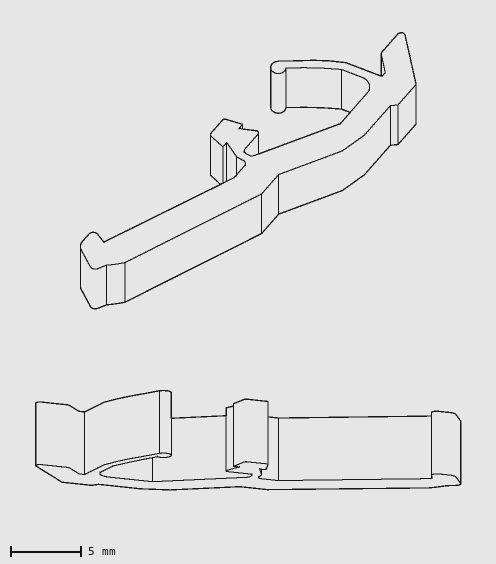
import cadquery as cq
import math

length = 29.98
width = 11.41
thickness = 4.65

upper_inner_x = 9.0
upper_outer_x = 11.0
lower_inner_x = 5.58
lower_outer_x = 8.02
middle_slope = math.tan(math.radians(60))
bend_outer = (10.52, 18.83)
bend_top_y = 20.9
bend_inner_y = 20.76
lower_inner_y = 12.47
lower_outer_y = 12.38
waist_outer_y = bend_outer[1] - middle_slope * (bend_outer[0] - lower_outer_x)

foot_notch = (1.28, 2.42)
foot_top_y = 2.97
foot_bottom_y = 1.145
foot_tip = (2.10, -0.165)
foot_heel = (2.62, 0.81)
heel_crown = (3.12, 1.24)
heel_end = (3.57, 1.76)
foot_top_radius = 0.38
foot_bottom_radius = 0.75
foot_tip_radius = 0.39
heel_radius = 8.5

head_left_x = 7.75
head_right_top_y = 26.74
head_right_bottom_y = 24.48
shoulder_y = 24.12
head_left_y = 27.6
head_apex_y = head_right_top_y + width - head_left_x
head_inner_y = head_left_y - (upper_inner_x - head_left_x)
head_tip_radius = (head_apex_y - length) / math.sqrt(2)
head_corner_radius = 0.3

stud_left_x = 1.94
stud_step_x = 3.34
stud_right_x = 4.74
stud_top_left_y = 16.38
stud_bottom_left_y = 14.61
stud_top_y = 16.73
stud_bottom_y = 14.26
stud_neck_top_y = 16.27
stud_neck_bottom_y = 14.74
stud_flank_slope = 0.49
stud_base_y = 14.09
stud_shoulder_y = stud_neck_top_y + stud_flank_slope * (stud_right_x - stud_step_x)
stud_base_x = stud_step_x + (stud_neck_bottom_y - stud_base_y) / stud_flank_slope
stud_corner_radius = 0.2
stud_shoulder_radius = 0.2
stud_root_radius = 0.32
groove_y = 14.71
groove_right_x = upper_inner_x - (bend_inner_y - groove_y) / middle_slope
groove_left_radius = 0.3
groove_right_radius = 0.4

hook_slope = 0.163
hook_outer_bend = (6.19, 25.47)
hook_outer_middle = (4.83, 24.75)
hook_outer_end = (3.25, 23.62)
hook_outer_tip = (2.14, 22.81)
hook_inner_bend = (6.28, 24.78)
hook_inner_middle = (4.43, 23.67)
hook_inner_end = (2.98, 22.63)
hook_root_radius = 0.95
bead_center = (2.5, 22.36)
bead_radius = 0.55
hook_overlap = 0.5


def corner_arc(before, corner, after, radius):
    """Start, middle and end of the arc that rounds a corner tangentially."""
    vertex = cq.Vector(*corner)
    back = (cq.Vector(*before) - vertex).normalized()
    ahead = (cq.Vector(*after) - vertex).normalized()
    half_angle = back.getAngle(ahead) / 2
    tangent_length = radius / math.tan(half_angle)
    middle_distance = radius / math.sin(half_angle) - radius
    start = vertex + back * tangent_length
    middle = vertex + (back + ahead).normalized() * middle_distance
    end = vertex + ahead * tangent_length
    return [point.toTuple()[:2] for point in (start, middle, end)]


def rounded_plate(corners):
    """Extruded polygon from (x, y, radius) corners; radius 0 stays sharp."""
    outline = cq.Workplane("XY").moveTo(*corners[0][:2])
    for index in range(1, len(corners)):
        corner = corners[index][:2]
        radius = corners[index][2]
        if radius == 0:
            outline = outline.lineTo(*corner)
            continue
        before = corners[index - 1][:2]
        after = corners[(index + 1) % len(corners)][:2]
        start, middle, end = corner_arc(before, corner, after, radius)
        outline = outline.lineTo(*start).threePointArc(middle, end)
    return outline.close().extrude(thickness)


def make_strut():
    """Strut with foot, head and barbed stud, listed counterclockwise."""
    foot = [
        (*foot_notch, 0),
        (0, foot_top_y, foot_top_radius),
        (0, foot_bottom_y, foot_bottom_radius),
        (*foot_tip, foot_tip_radius),
        (*foot_heel, 0),
        (*heel_crown, heel_radius),
        (*heel_end, 0),
    ]
    outer_side = [
        (lower_outer_x, lower_outer_y, 0),
        (lower_outer_x, waist_outer_y, 0),
        (*bend_outer, 0),
        (upper_outer_x, bend_top_y, 0),
        (upper_outer_x, shoulder_y, 0),
    ]
    head = [
        (width, head_right_bottom_y, 0),
        (width, head_right_top_y, 0),
        (head_left_x, head_apex_y, head_tip_radius),
        (head_left_x, head_left_y, head_corner_radius),
        (upper_inner_x, head_inner_y, head_corner_radius),
        (upper_inner_x, bend_inner_y, 0),
    ]
    stud = [
        (groove_right_x, groove_y, groove_right_radius),
        (stud_right_x, groove_y, groove_left_radius),
        (stud_right_x, stud_shoulder_y, stud_shoulder_radius),
        (stud_step_x, stud_neck_top_y, 0),
        (stud_step_x, stud_top_y, 0),
        (stud_left_x, stud_top_left_y, stud_corner_radius),
        (stud_left_x, stud_bottom_left_y, stud_corner_radius),
        (stud_step_x, stud_bottom_y, 0),
        (stud_step_x, stud_neck_bottom_y, 0),
        (stud_base_x, stud_base_y, 0),
        (lower_inner_x, stud_base_y, stud_root_radius),
        (lower_inner_x, lower_inner_y, 0),
    ]
    return rounded_plate(foot + outer_side + head + stud)


def make_hook():
    """Curved arm with a rounded root on its lower side, and its end bead."""
    outer_root_y = hook_outer_bend[1] + hook_slope * (upper_inner_x - hook_outer_bend[0])
    inner_root_y = hook_inner_bend[1] + hook_slope * (upper_inner_x - hook_inner_bend[0])
    inner_root = (upper_inner_x, inner_root_y)
    strut_point = (upper_inner_x, bend_inner_y)
    root_start, root_middle, root_end = corner_arc(
        hook_inner_bend, inner_root, strut_point, hook_root_radius
    )
    arm = (
        cq.Workplane("XY")
        .moveTo(upper_inner_x, outer_root_y)
        .lineTo(*hook_outer_bend)
        .threePointArc(hook_outer_middle, hook_outer_end)
        .lineTo(*hook_outer_tip)
        .lineTo(*bead_center)
        .lineTo(*hook_inner_end)
        .threePointArc(hook_inner_middle, hook_inner_bend)
        .lineTo(*root_start)
        .threePointArc(root_middle, root_end)
        .lineTo(upper_inner_x + hook_overlap, root_end[1])
        .lineTo(upper_inner_x + hook_overlap, outer_root_y)
        .close()
        .extrude(thickness)
    )
    bead = cq.Workplane("XY").center(*bead_center).circle(bead_radius).extrude(thickness)
    return arm.union(bead)


result = make_strut().union(make_hook())